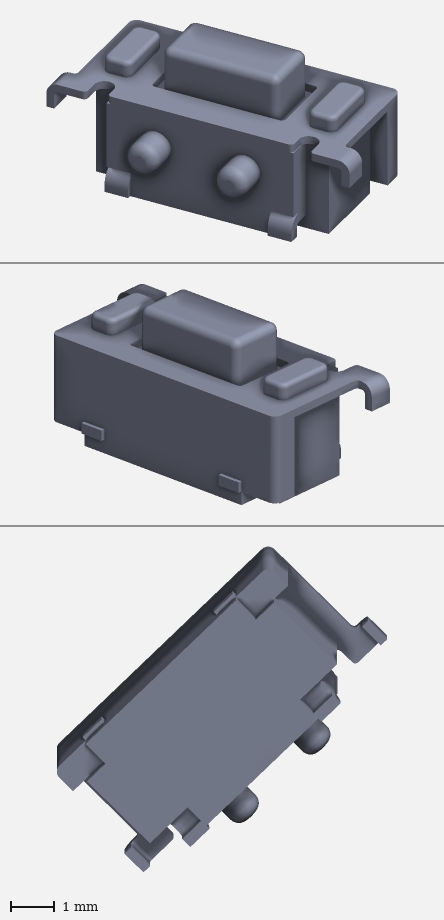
import cadquery as cq

LENGTH = 7.8
TOTAL_HEIGHT = 3.51
SIDES = (-1, 1)

COVER_TOP = 2.51
COVER_THICKNESS = 0.2
COVER_WIDTH = 6.89
COVER_BACK = 3.3
COVER_CORNER_RADIUS = 0.2
COVER_BOTTOM = COVER_TOP - COVER_THICKNESS

OVERHANG = 0.1
EAR_DEPTH = 0.62
EAR_BOTTOM = 1.86
EAR_BEND_RADIUS = 0.305
EAR_ROOT_RADIUS = 0.09
EAR_BACK = EAR_DEPTH - OVERHANG

NOTCH_X = 2.63
NOTCH_WIDTH = 0.5
NOTCH_END = 0.56
NOTCH_LIP_RADIUS = 0.1

BODY_WIDTH = 5.99
BODY_FRONT = 0.61
BODY_BACK = 2.65
CORE_WIDTH = 4.805
BACK_WALL_BOTTOM = 0.33

WINDOW_WIDTH = 3.42
WINDOW_DEPTH = 1.715
WINDOW_CORNER_RADIUS = 0.1
BUTTON_WIDTH = 2.99
BUTTON_DEPTH = 1.505
BUTTON_RADIUS = 0.195
BUTTON_Y = 1.71

PAD_X = 2.63
PAD_WIDTH = 0.72
PAD_DEPTH = 1.62
PAD_TOP = 2.91
PAD_CORNER_RADIUS = 0.195
PAD_EDGE_RADIUS = 0.11

PIN_X = 1.15
PIN_Z = 1.505
PIN_DIAMETER = 0.8
PIN_LENGTH = 0.795
PIN_TIP_RADIUS = 0.25

LEG_WIDTH = 0.61
LEG_THICKNESS = 0.265
LEG_TOP = 0.61
LEG_BEND_RADIUS = 0.405
LEG_X = (CORE_WIDTH - LEG_WIDTH) / 2
LEG_BOTTOM = LEG_TOP - LEG_THICKNESS


def block(width, y_range, z_range, x_center=0.0):
    """Box centred at x_center, spanning the given Y and Z ranges."""
    front, back = y_range
    bottom, top = z_range
    return (
        cq.Workplane("XY", origin=(x_center, (front + back) / 2, bottom))
        .box(width, back - front, top - bottom, centered=(True, True, False))
    )


def make_ear(side):
    """L-shaped strip bent down beyond the end of the cover."""
    tip = LENGTH / 2
    inner_tip = tip - COVER_THICKNESS
    root = NOTCH_X
    middle_y = EAR_BACK - EAR_DEPTH / 2
    strip = (
        cq.Workplane("XZ", origin=(0, EAR_BACK, 0))
        .moveTo(side * root, COVER_TOP)
        .lineTo(side * tip, COVER_TOP)
        .lineTo(side * tip, EAR_BOTTOM)
        .lineTo(side * inner_tip, EAR_BOTTOM)
        .lineTo(side * inner_tip, COVER_BOTTOM)
        .lineTo(side * root, COVER_BOTTOM)
        .close()
        .extrude(EAR_DEPTH)
    )
    outer_bend = cq.selectors.NearestToPointSelector((side * tip, middle_y, COVER_TOP))
    inner_bend = cq.selectors.NearestToPointSelector((side * inner_tip, middle_y, COVER_BOTTOM))
    strip = strip.edges("|Y").edges(inner_bend).fillet(EAR_BEND_RADIUS - COVER_THICKNESS)
    return strip.edges("|Y").edges(outer_bend).fillet(EAR_BEND_RADIUS)


def make_notch_cutter(side):
    """Round-ended notch, open at the front edge of the cover."""
    radius = NOTCH_WIDTH / 2
    center_y = NOTCH_END - radius
    slot = block(NOTCH_WIDTH, (-OVERHANG, center_y), (COVER_BOTTOM, COVER_TOP), side * NOTCH_X)
    end = (
        cq.Workplane("XY", origin=(side * NOTCH_X, center_y, COVER_BOTTOM))
        .circle(radius)
        .extrude(COVER_THICKNESS)
    )
    return slot.union(end)


def round_upright_edge(solid, x, y, radius):
    """Fillet the vertical cover edge at the plan position (x, y)."""
    nearest = cq.selectors.NearestToPointSelector((x, y, COVER_TOP - COVER_THICKNESS / 2))
    return solid.edges("|Z").edges(nearest).fillet(radius)


def make_cover():
    cover = block(COVER_WIDTH, (0, COVER_BACK), (COVER_BOTTOM, COVER_TOP))
    for side in SIDES:
        cover = cover.union(make_ear(side)).cut(make_notch_cutter(side))
    inner_lip_x = NOTCH_X - NOTCH_WIDTH / 2
    outer_lip_x = NOTCH_X + NOTCH_WIDTH / 2
    for side in SIDES:
        cover = round_upright_edge(cover, side * inner_lip_x, 0, NOTCH_LIP_RADIUS)
        cover = round_upright_edge(cover, side * outer_lip_x, -OVERHANG, NOTCH_LIP_RADIUS)
        cover = round_upright_edge(cover, side * COVER_WIDTH / 2, EAR_BACK, EAR_ROOT_RADIUS)
        cover = round_upright_edge(cover, side * COVER_WIDTH / 2, COVER_BACK, COVER_CORNER_RADIUS)
    window = (
        cq.Workplane("XY", origin=(0, BUTTON_Y, COVER_BOTTOM))
        .rect(WINDOW_WIDTH, WINDOW_DEPTH)
        .extrude(COVER_THICKNESS)
        .edges("|Z")
        .fillet(WINDOW_CORNER_RADIUS)
    )
    return cover.cut(window)


def make_body():
    """Block with a narrower core running front to back, and the wide rear wall."""
    middle = block(BODY_WIDTH, (BODY_FRONT, BODY_BACK), (0, COVER_BOTTOM))
    core = block(CORE_WIDTH, (0, COVER_BACK), (0, COVER_BOTTOM))
    back_wall = (
        block(COVER_WIDTH, (BODY_BACK, COVER_BACK), (BACK_WALL_BOTTOM, COVER_BOTTOM))
        .edges("|Z and >Y")
        .fillet(COVER_CORNER_RADIUS)
    )
    body = middle.union(core).union(back_wall)
    for side in SIDES:
        body = body.cut(block(LEG_WIDTH, (0, BODY_FRONT), (0, LEG_TOP), side * LEG_X))
    return body


def make_leg(side):
    """Strip leaving the body forwards and bent down to the underside."""
    strip = block(LEG_WIDTH, (-OVERHANG, BODY_FRONT), (0, LEG_TOP), side * LEG_X)
    strip = strip.edges("|X and <Y and >Z").fillet(LEG_BEND_RADIUS)
    hollow = block(LEG_WIDTH, (LEG_THICKNESS - OVERHANG, BODY_FRONT), (0, LEG_BOTTOM), side * LEG_X)
    hollow = hollow.edges("|X and <Y and >Z").fillet(LEG_BEND_RADIUS - LEG_THICKNESS)
    return strip.cut(hollow)


def make_rear_tab(side):
    return block(LEG_WIDTH, (BODY_BACK, COVER_BACK + OVERHANG), (LEG_BOTTOM, LEG_TOP), side * LEG_X)


def make_button():
    return (
        block(
            BUTTON_WIDTH,
            (BUTTON_Y - BUTTON_DEPTH / 2, BUTTON_Y + BUTTON_DEPTH / 2),
            (COVER_BOTTOM, TOTAL_HEIGHT),
        )
        .edges("|Z or >Z")
        .fillet(BUTTON_RADIUS)
    )


def make_pad(side):
    return (
        block(
            PAD_WIDTH,
            (BUTTON_Y - PAD_DEPTH / 2, BUTTON_Y + PAD_DEPTH / 2),
            (COVER_BOTTOM, PAD_TOP),
            side * PAD_X,
        )
        .edges("|Z")
        .fillet(PAD_CORNER_RADIUS)
        .faces(">Z")
        .edges()
        .fillet(PAD_EDGE_RADIUS)
    )


def make_pin(side):
    return (
        cq.Workplane("XZ", origin=(side * PIN_X, 0, PIN_Z))
        .circle(PIN_DIAMETER / 2)
        .extrude(PIN_LENGTH)
        .faces("<Y")
        .edges()
        .fillet(PIN_TIP_RADIUS)
    )


result = make_body().union(make_cover()).union(make_button())
for side in SIDES:
    for make_feature in (make_leg, make_rear_tab, make_pad, make_pin):
        result = result.union(make_feature(side))